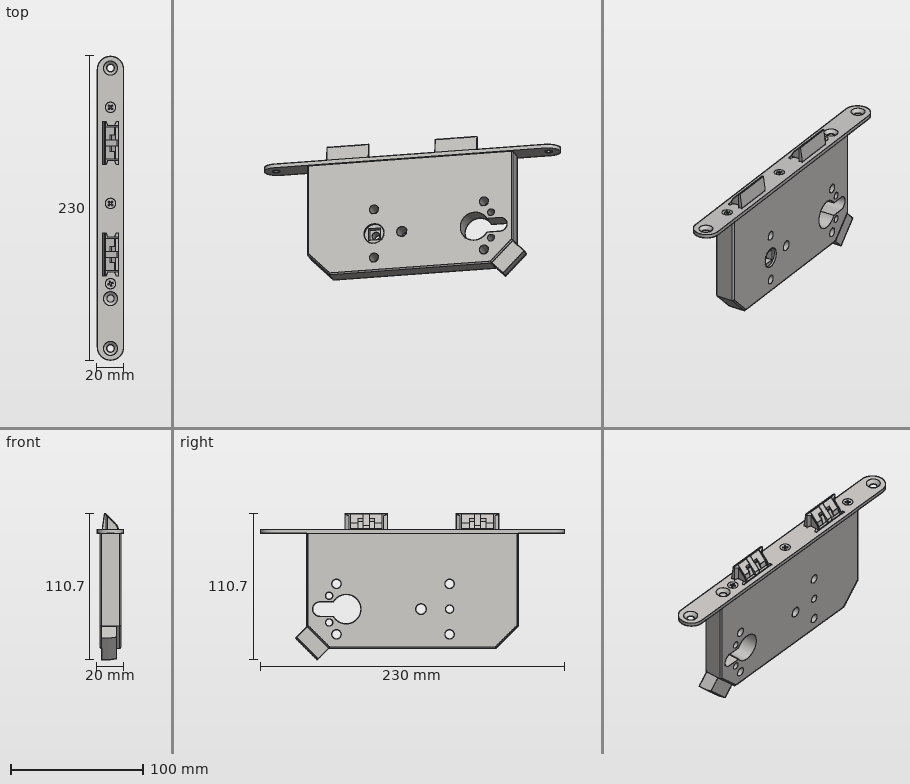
import cadquery as cq


PLATE_LENGTH = 230.0
PLATE_WIDTH = 20.0
PLATE_THICKNESS = 3.0
FIXING_HOLE_DIA = 5.5
FIXING_SINK_DIA = 10.5
FIXING_SINK_ANGLE = 90.0
FIXING_END_DISTANCE = 9.0
EXTRA_HOLE_Y = -68.3

SCREW_HEAD_DIA = 7.8
SCREW_SHANK_DIA = 4.0
SCREW_PLACES = [(76.4, 45.0), (3.7, 45.0), (-57.0, 20.0)]
CROSS_LENGTH = 4.1
CROSS_WIDTH = 1.0
CROSS_DEPTH = 1.2

CASE_LENGTH = 160.0
CASE_WIDTH = 16.0
CASE_BOTTOM_Z = -90.2
CORNER_CUT = 17.0
EDGE_CHAMFER = 1.2

SPINDLE_Y = 28.0
SPINDLE_Z = -60.3
HUB_DIA = 15.5
HUB_RECESS = 1.8
SPINDLE_SQUARE = 9.2
SPINDLE_BORE_DIA = 6.0
SOCKET_DEPTH = 4.8
SIDE_HOLE_Y = 6.5
SIDE_HOLE_DIA = 7.8
CYLINDER_Y = -50.1
CYLINDER_DIA = 22.0
CYLINDER_TAIL_WIDTH = 10.8
CYLINDER_TAIL_END_Y = -75.5
ROSE_HOLE_DIA = 7.0
ROSE_HOLE_RISE = 19.0
ROSE_HOLE_Y = -57.5
SMALL_HOLE_DIA = 5.3
SMALL_HOLE_RISE = 10.1
SMALL_HOLE_Y = -63.0

FOOT_LENGTH = 23.2
FOOT_REACH = 12.5
FOOT_LEFT_X = -6.7
FOOT_BEND_X = -1.0
FOOT_RIGHT_X = 4.5
FOOT_TAPER = 1.2

LATCH_CENTRES_Y = [49.2, -35.0]
LATCH_LENGTH = 32.5
LATCH_HEIGHT = 12.0
LATCH_BACK_X = -6.2
LATCH_TOE_X = 6.0
LATCH_TIP_BACK_X = -4.5
LATCH_TIP_FRONT_X = -3.7
LATCH_LIP = 0.7
BEVEL_BREAK = (3.7, 4.4)
RIM_LENGTH = 4.1
PANEL_DROP = 0.35
STEP_X = 3.0
STEP_RUN = 1.0
RIB_LENGTH = 4.5
RIB_FRONT_X = 5.0
POCKET_LENGTH = 4.0
POCKET_BACK_X = -0.5
POCKET_FLOOR_RUN = 1.2
POCKET_FLOOR_Z = 6.0
POCKET_LOWER_Z = 2.3
NOTCH_DEPTH = 3.0
NOTCH_BACK_X = (-3.2, -2.0)
NOTCH_FRONT_X = (4.4, 3.0)


def bevel_z(x):
    """Height of the main bevel of a latch bolt at x."""
    slope = (LATCH_HEIGHT - BEVEL_BREAK[1]) / (BEVEL_BREAK[0] - LATCH_TIP_FRONT_X)
    return LATCH_HEIGHT - slope * (x - LATCH_TIP_FRONT_X)


def latch_slice(front_points, start, length):
    """Slice of a latch bolt from Y = start, with its front outline running down from the tip."""
    outline = [
        (LATCH_TOE_X, -PLATE_THICKNESS),
        (LATCH_BACK_X, -PLATE_THICKNESS),
        (LATCH_BACK_X, LATCH_LIP),
        (LATCH_TIP_BACK_X, LATCH_HEIGHT),
    ]
    section = cq.Workplane("XZ").polyline(outline + front_points).close()
    return section.extrude(-length).translate((0, start, 0))


def end_notch(side, front_x, reach):
    """Cutter for the notch in the +Y (side 1) or -Y (side -1) end of a bolt, from Z = 0 to reach."""
    outer_y = side * LATCH_LENGTH / 2
    inner_y = outer_y - side * NOTCH_DEPTH
    corners = [
        (NOTCH_BACK_X[0], outer_y),
        (NOTCH_BACK_X[1], inner_y),
        (front_x[1], inner_y),
        (front_x[0], outer_y),
    ]
    return cq.Workplane("XY").polyline(corners).close().extrude(reach)


def make_latch(centre_y):
    """Bevelled latch bolt with notched ends, its front stepped between two rims and a middle rib."""
    tip = (LATCH_TIP_FRONT_X, LATCH_HEIGHT)
    toe = (LATCH_TOE_X, LATCH_LIP)
    step_foot = (STEP_X + STEP_RUN, LATCH_LIP)
    bevel = [tip, BEVEL_BREAK, (LATCH_TOE_X, 0.0)]
    panel_top = (LATCH_TIP_FRONT_X, LATCH_HEIGHT - PANEL_DROP)
    step = [tip, panel_top, (STEP_X, bevel_z(STEP_X) - PANEL_DROP), step_foot, toe]
    pocket = [
        tip,
        panel_top,
        (POCKET_BACK_X, bevel_z(POCKET_BACK_X) - PANEL_DROP),
        (POCKET_BACK_X, POCKET_FLOOR_Z),
        (POCKET_BACK_X + POCKET_FLOOR_RUN, POCKET_FLOOR_Z),
        (STEP_X, POCKET_LOWER_Z),
        step_foot,
        toe,
    ]
    rib = [tip, (RIB_FRONT_X, bevel_z(RIB_FRONT_X)), toe]

    half = LATCH_LENGTH / 2
    step_start = RIB_LENGTH / 2 + POCKET_LENGTH
    step_length = half - RIM_LENGTH - step_start
    latch = latch_slice(rib, -RIB_LENGTH / 2, RIB_LENGTH)
    for front, start, length in [
        (pocket, RIB_LENGTH / 2, POCKET_LENGTH),
        (step, step_start, step_length),
        (bevel, half - RIM_LENGTH, RIM_LENGTH),
    ]:
        latch = latch.union(latch_slice(front, start, length))
        latch = latch.union(latch_slice(front, -start - length, length))

    for side in (1, -1):
        latch = latch.cut(end_notch(side, NOTCH_FRONT_X, -PLATE_THICKNESS))
        latch = latch.cut(end_notch(side, (LATCH_TOE_X, LATCH_TOE_X), LATCH_HEIGHT))
    return latch.translate((0, centre_y, 0))


def cross_hole(y, z, diameter):
    """Round cutter through the whole case width."""
    return cq.Workplane("YZ").center(y, z).circle(diameter / 2).extrude(CASE_WIDTH, both=True)


def make_spindle_cutter():
    """Round hub recess, then a square socket, then a bore through to the far side."""
    left_side = cq.Workplane("YZ").workplane(offset=-CASE_WIDTH / 2).center(SPINDLE_Y, SPINDLE_Z)
    recess = left_side.circle(HUB_DIA / 2).extrude(HUB_RECESS)
    socket = left_side.rect(SPINDLE_SQUARE, SPINDLE_SQUARE).extrude(HUB_RECESS + SOCKET_DEPTH)
    return recess.union(socket).union(cross_hole(SPINDLE_Y, SPINDLE_Z, SPINDLE_BORE_DIA))


def make_cylinder_cutter():
    """Profile cylinder opening: a round hole with a round-ended tail."""
    tail_radius = CYLINDER_TAIL_WIDTH / 2
    tail_centre_y = CYLINDER_TAIL_END_Y + tail_radius
    tail_length = CYLINDER_Y - tail_centre_y
    tail = (
        cq.Workplane("YZ")
        .center((CYLINDER_Y + tail_centre_y) / 2, SPINDLE_Z)
        .rect(tail_length, CYLINDER_TAIL_WIDTH)
        .extrude(CASE_WIDTH, both=True)
    )
    tail_end = cross_hole(tail_centre_y, SPINDLE_Z, CYLINDER_TAIL_WIDTH)
    return cross_hole(CYLINDER_Y, SPINDLE_Z, CYLINDER_DIA).union(tail).union(tail_end)


def make_foot():
    """Block standing on the front corner cut, its end face sloping back on the +X side."""
    end = FOOT_REACH
    outline = [
        (FOOT_LEFT_X, 0.0),
        (FOOT_LEFT_X, end),
        (FOOT_BEND_X, end),
        (FOOT_RIGHT_X, end - FOOT_TAPER),
        (FOOT_RIGHT_X, 0.0),
    ]
    corner_plane = cq.Plane(
        origin=(0, -(CASE_LENGTH - CORNER_CUT) / 2, CASE_BOTTOM_Z + CORNER_CUT / 2),
        xDir=(1, 0, 0),
        normal=(0, 1, -1),
    )
    return cq.Workplane(corner_plane).polyline(outline).close().extrude(FOOT_LENGTH / 2, both=True)


def make_case(latches):
    """Lock case with its latch bolts and foot block."""
    height = -PLATE_THICKNESS - CASE_BOTTOM_Z
    case = (
        cq.Workplane("XY")
        .workplane(offset=CASE_BOTTOM_Z)
        .rect(CASE_WIDTH, CASE_LENGTH)
        .extrude(height)
        .edges("<Z and |X")
        .chamfer(CORNER_CUT)
    )
    outer_edges = case.faces("<X or >X").edges("not >Z")
    case = case.newObject(outer_edges.vals()).chamfer(EDGE_CHAMFER)
    case = case.union(make_foot())

    case = case.cut(make_spindle_cutter()).cut(make_cylinder_cutter())
    case = case.cut(cross_hole(SIDE_HOLE_Y, SPINDLE_Z, SIDE_HOLE_DIA))
    for side in (1, -1):
        for y, rise, diameter in [
            (SPINDLE_Y, ROSE_HOLE_RISE, ROSE_HOLE_DIA),
            (ROSE_HOLE_Y, ROSE_HOLE_RISE, ROSE_HOLE_DIA),
            (SMALL_HOLE_Y, SMALL_HOLE_RISE, SMALL_HOLE_DIA),
        ]:
            case = case.cut(cross_hole(y, SPINDLE_Z + side * rise, diameter))
    for latch in latches:
        case = case.union(latch)
    return case


def screw_blank(y):
    """Countersunk screw shape as deep as the faceplate, without its cross recess."""
    head_radius = SCREW_HEAD_DIA / 2
    shank_radius = SCREW_SHANK_DIA / 2
    head_depth = head_radius - shank_radius
    half_section = [
        (0, 0),
        (head_radius, 0),
        (shank_radius, -head_depth),
        (shank_radius, -PLATE_THICKNESS),
        (0, -PLATE_THICKNESS),
    ]
    turned = cq.Workplane("XZ").polyline(half_section).close().revolve(360, (0, 0), (0, 1))
    return turned.translate((0, y, 0))


def make_screw(y, turn):
    """Countersunk screw with a cross recess turned by the given angle."""
    screw = screw_blank(y)
    for angle in (turn, turn + 90):
        slot = cq.Workplane("XY").rect(CROSS_LENGTH, CROSS_WIDTH).extrude(-CROSS_DEPTH)
        screw = screw.cut(slot.rotate((0, 0, 0), (0, 0, 1), angle).translate((0, y, 0)))
    return screw


def make_faceplate(latches):
    """Round-ended strip with countersunk holes, screw seats and close-fitting bolt openings."""
    end_hole_y = PLATE_LENGTH / 2 - FIXING_END_DISTANCE
    plate = (
        cq.Workplane("XY")
        .slot2D(PLATE_LENGTH, PLATE_WIDTH, 90)
        .extrude(-PLATE_THICKNESS)
        .faces(">Z")
        .workplane(origin=(0, 0, 0))
        .pushPoints([(0, end_hole_y), (0, EXTRA_HOLE_Y), (0, -end_hole_y)])
        .cskHole(FIXING_HOLE_DIA, FIXING_SINK_DIA, FIXING_SINK_ANGLE)
    )
    for y, _ in SCREW_PLACES:
        plate = plate.cut(screw_blank(y))
    for latch in latches:
        plate = plate.cut(latch)
    return plate


latch_bolts = [make_latch(y) for y in LATCH_CENTRES_Y]
lock_case = make_case(latch_bolts)
faceplate = make_faceplate(latch_bolts)
screws = [make_screw(y, turn) for y, turn in SCREW_PLACES]

result = cq.Compound.makeCompound(
    [lock_case.val(), faceplate.val(), *[screw.val() for screw in screws]]
)